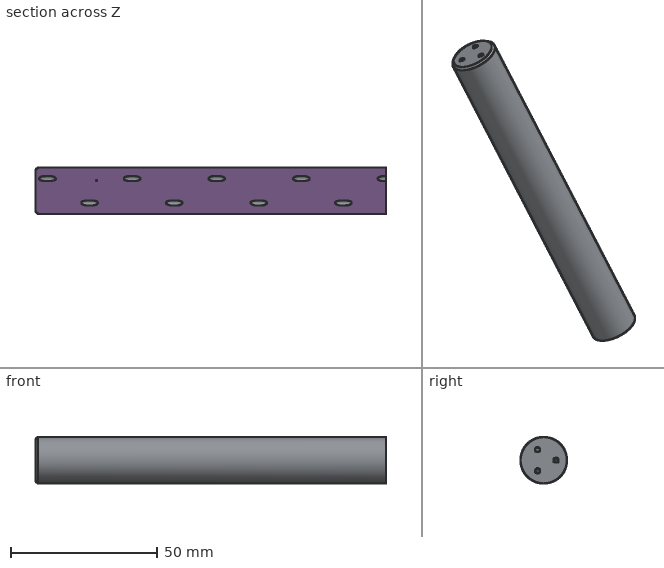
import cadquery as cq
import math

length = 120.0
diameter = 16.0
chamfer = 0.8

channel_count = 3
channel_diameter = 1.7
channel_circle_radius = 4.2
first_channel_angle = 77.0
helix_angle = 30.0

helix_pitch = math.pi * diameter / math.tan(math.radians(helix_angle))
total_twist = 360 * length / helix_pitch


def rod():
    """Solid rod with a chamfered rim at the -X end."""
    body = cq.Workplane("YZ").circle(diameter / 2).extrude(length / 2, both=True)
    return body.faces("<X").chamfer(chamfer)


def coolant_channels():
    """Equally spaced channels that twist around the rod axis from end to end."""
    end_plane = cq.Plane(origin=(-length / 2, 0, 0), xDir=(0, -1, 0), normal=(-1, 0, 0))
    return (
        cq.Workplane(end_plane)
        .polarArray(channel_circle_radius, first_channel_angle, 360, channel_count)
        .circle(channel_diameter / 2)
        .twistExtrude(-length, total_twist)
    )


result = rod().cut(coolant_channels())